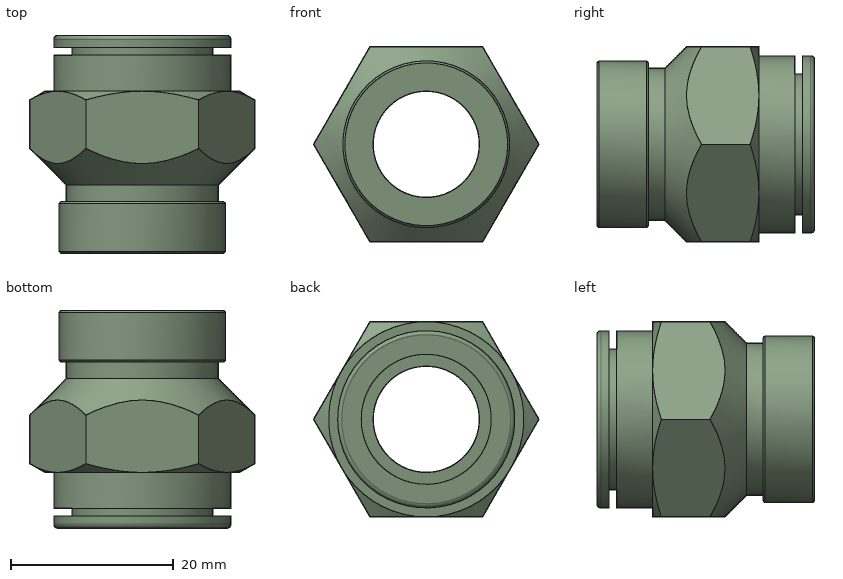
import cadquery as cq
import math

corner_diameter = 27.7
corner_radius = corner_diameter / 2
flat_radius = corner_radius * math.cos(math.pi / 6)

collar_diameter = 20.5
neck_diameter = 18.73
body_diameter = 21.78
groove_diameter = 17.35
bore_diameter = 13.02
socket_diameter = 16.0

socket_start = 6.2
collar_end = 6.37
hex_start = 8.4
hex_end = 19.92
body_end = 24.35
flange_start = 25.27
total_length = 26.8

collar_chamfer = 0.25
flange_rounding = 0.5
rear_bevel_angle = math.radians(30)


def turned(points):
    """Revolve a closed (radius, Y) profile about the Y axis."""
    return cq.Workplane("XY").polyline(points).close().revolve(360, (0, 0, 0), (0, 1, 0))


def cylinder(diameter, start, end):
    """Cylinder along Y between two stations."""
    return cq.Workplane("XZ", origin=(0, start, 0)).circle(diameter / 2).extrude(start - end)


def bevelled_hexagon():
    """Hexagon cut by a 45 degree front cone and a shallow rear cone."""
    prism = (
        cq.Workplane("XZ", origin=(0, hex_start, 0))
        .polygon(6, corner_diameter)
        .extrude(hex_start - hex_end)
    )
    neck_radius = neck_diameter / 2
    front_cone_length = corner_radius - neck_radius
    rear_cone_length = (corner_radius - flat_radius) * math.tan(rear_bevel_angle)
    envelope = turned([
        (0, hex_start),
        (neck_radius, hex_start),
        (corner_radius, hex_start + front_cone_length),
        (corner_radius, hex_end - rear_cone_length),
        (flat_radius, hex_end),
        (0, hex_end),
    ])
    return prism.intersect(envelope)


collar = cylinder(collar_diameter, 0, collar_end).edges().chamfer(collar_chamfer)
neck = cylinder(neck_diameter, collar_end, hex_start)
body = cylinder(body_diameter, hex_end, body_end)
groove = cylinder(groove_diameter, body_end, flange_start)
flange = cylinder(body_diameter, flange_start, total_length)
flange = flange.faces(">Y").edges().fillet(flange_rounding)
bore = cylinder(bore_diameter, 0, total_length)
socket = cylinder(socket_diameter, socket_start, total_length)

result = bevelled_hexagon()
for section in (collar, neck, body, groove, flange):
    result = result.union(section)
result = result.cut(bore).cut(socket)